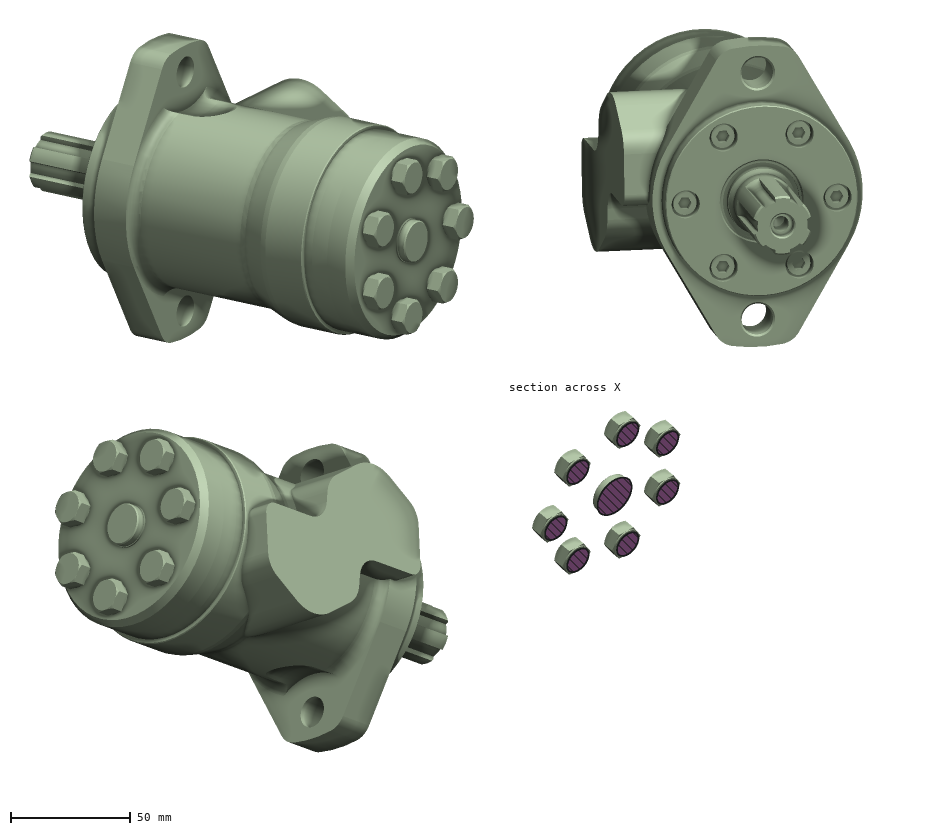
import cadquery as cq
import math


spline_end = 26.3
runout_end = 35.8
collar_start = 42.7
collar_knee = 43.5
collar_full = 45.0
cover_front = 46.1
flange_front = 54.9
flange_back = 70.9
plate_front = 159.5
gear_front = 163.3
end_cover_front = 170.9
end_cover_back = 183.0
bolt_end = 190.5

body_diameter = 80.8
shoulder_diameter = 89.7
shoulder_foot = 126.9
shoulder_top = 139.6
shoulder_blend = 8.2
housing_chamfer = 0.4
flange_length = 129.7
flange_side_angle = 60.0
flange_corner_radius = 10.0
mount_hole_diameter = 13.3
mount_hole_offset = 53.0
mount_hole_chamfer = 0.8
scoop_radius = 26.7
scoop_offset = 62.9
scoop_straight_end = 80.4

total_width = 100.0
port_face = total_width - shoulder_diameter / 2
block_end = 63.0
block_middle = 110.7
lobe_middle = 92.4
lobe_radius = 19.0
lobe_slope = 32.5
lobe_corner = 65.0
lobe_corner_radius = 11.8
block_waist = 4.8
block_waist_radius = 5.3
block_inner_radius = 9.7

shaft_diameter = 25.3
shaft_chamfer = 0.8
spline_count = 6
spline_root_radius = 10.7
tooth_width = 6.3
collar_knee_diameter = 26.7
collar_lip_diameter = 28.5
collar_diameter = 29.0
center_mouth_diameter = 11.0
center_bore_diameter = 10.0
center_bore_depth = 3.8
center_drill_diameter = 6.7
center_drill_depth = 13.3
drill_point_angle = 118.0

cover_diameter = 82.0
cover_chamfer = 0.4
seal_mouth_diameter = 35.8
seal_mouth_chamfer = 0.5
seal_mouth_depth = 1.0
seal_seat_diameter = 32.5
seal_seat_depth = 2.0
screw_count = 6
screw_circle_diameter = 64.8
screw_hole_diameter = 12.0
screw_hole_depth = 7.6
screw_head_diameter = 10.0
screw_head_recess = 2.0
socket_flats = 5.0
socket_depth = 2.9

stack_diameter = 86.0
end_cover_chamfer_length = 3.0
end_cover_chamfer_depth = 2.3
bolt_count = 7
bolt_circle_diameter = 63.5
bolt_flats = 13.3
bolt_neck_diameter = 11.8
bolt_neck_height = 0.8
bolt_washer_height = 0.5
bolt_chamfer = 0.8
plug_pad_diameter = 18.7
plug_pad_height = 0.8
plug_diameter = 18.0
plug_end_diameter = 17.0
plug_end = 187.3

COS30 = math.cos(math.radians(30))


def disc(diameter, start, end):
    """Cylinder on the X axis from start to end."""
    return cq.Workplane("YZ", origin=(start, 0, 0)).circle(diameter / 2).extrude(end - start)


def revolved(profile):
    """Solid of revolution about X from a closed list of (x, radius) points."""
    return cq.Workplane("XY").polyline(profile).close().revolve(360, (0, 0, 0), (1, 0, 0))


def hexagon(flats, start, end):
    """Hexagonal prism along X with two corners on the Y axis."""
    return cq.Workplane("YZ", origin=(start, 0, 0)).polygon(6, flats / COS30).extrude(end - start)


def on_circle(feature, count, diameter):
    """Copies of an axial feature, evenly spaced on a circle that starts on +Y."""
    copies = []
    for i in range(count):
        angle = 2 * math.pi * i / count
        y = diameter / 2 * math.cos(angle)
        z = diameter / 2 * math.sin(angle)
        copies.append(feature.translate((0, y, z)))
    return copies


def make_flange():
    """Two-hole flange: a rhombus tangent to a round middle, cut to length by a large circle."""
    side_angle = math.radians(flange_side_angle)
    middle_radius = shoulder_diameter / 2
    half_y = middle_radius / math.sin(side_angle)
    half_z = middle_radius / math.cos(side_angle)
    rhombus = [(half_y, 0), (0, half_z), (-half_y, 0), (0, -half_z)]
    thickness = flange_back - flange_front
    blank = cq.Workplane("YZ", origin=(flange_front, 0, 0)).polyline(rhombus).close().extrude(thickness)
    blank = blank.edges("|X and (>Y or <Y)").fillet(middle_radius)
    blank = blank.intersect(disc(flange_length, flange_front, flange_back))
    for side in (1, -1):
        corners = cq.selectors.BoxSelector(
            (flange_front, -half_y, side * half_z / 2),
            (flange_back, half_y, side * half_z),
        )
        blank = blank.edges("|X").edges(corners).fillet(flange_corner_radius)
    return blank


def make_barrel():
    """Round body with a quarter-round root at the flange and a coned step up to the shoulder."""
    body_radius = body_diameter / 2
    shoulder_radius = shoulder_diameter / 2
    root_radius = shoulder_radius - body_radius
    root_dip = root_radius * math.cos(math.radians(45))
    barrel = (
        cq.Workplane("XY")
        .moveTo(flange_front, 0)
        .lineTo(flange_front, shoulder_radius)
        .lineTo(flange_back, shoulder_radius)
        .threePointArc(
            (flange_back + root_radius - root_dip, shoulder_radius - root_dip),
            (flange_back + root_radius, body_radius),
        )
        .lineTo(shoulder_foot, body_radius)
        .lineTo(shoulder_top, shoulder_radius)
        .lineTo(plate_front, shoulder_radius)
        .lineTo(plate_front, 0)
        .close()
        .revolve(360, (0, 0, 0), (1, 0, 0))
    )
    step = cq.selectors.BoxSelector(
        (shoulder_foot - shoulder_blend, -shoulder_diameter, -shoulder_diameter),
        (shoulder_top + shoulder_blend, shoulder_diameter, shoulder_diameter),
    )
    barrel = barrel.edges("%CIRCLE").edges(step).fillet(shoulder_blend)
    return barrel.faces(">X").edges().chamfer(housing_chamfer)


def make_port_block():
    """Port block whose outline is one rounded lobe and its copy turned half a turn."""
    slope = math.radians(lobe_slope)
    lobe_apex = lobe_radius + lobe_radius / math.cos(slope)
    lobe_corner_z = lobe_apex - (lobe_middle - lobe_corner) * math.tan(slope)
    half_outline = [
        (block_end, -block_waist, block_waist_radius),
        (lobe_corner, lobe_corner_z, lobe_corner_radius),
        (lobe_middle, lobe_apex, lobe_radius),
        (2 * lobe_middle - lobe_corner, lobe_corner_z, lobe_corner_radius),
        (2 * lobe_middle - block_end, block_waist, block_inner_radius),
    ]
    other_half = [(2 * block_middle - x, -z, radius) for x, z, radius in half_outline]
    corners = half_outline + other_half
    block = cq.Workplane("ZX").polyline([(z, x) for x, z, radius in corners]).close().extrude(port_face)
    for x, z, radius in corners:
        edge = cq.selectors.NearestToPointSelector((x, port_face / 2, z))
        block = block.edges("|Y").edges(edge).fillet(radius)
    return block


def make_scoop(side):
    """Ball-ended trough behind a mounting hole; side is +1 for +Z and -1 for -Z."""
    dip = scoop_radius * math.cos(math.radians(45))
    trough = (
        cq.Workplane("XY")
        .moveTo(flange_back, 0)
        .lineTo(flange_back, scoop_radius)
        .lineTo(scoop_straight_end, scoop_radius)
        .threePointArc((scoop_straight_end + dip, dip), (scoop_straight_end + scoop_radius, 0))
        .close()
        .revolve(360, (0, 0, 0), (1, 0, 0))
    )
    return trough.translate((0, 0, side * scoop_offset))


def make_mount_hole(side):
    """Mounting hole with a chamfered mouth on the front of the flange."""
    radius = mount_hole_diameter / 2
    profile = [
        (flange_front, 0),
        (flange_front, radius + mount_hole_chamfer),
        (flange_front + mount_hole_chamfer, radius),
        (flange_back, radius),
        (flange_back, 0),
    ]
    return revolved(profile).translate((0, 0, side * mount_hole_offset))


def make_housing():
    housing = make_barrel().union(make_flange()).union(make_port_block())
    for side in (1, -1):
        housing = housing.cut(make_scoop(side)).cut(make_mount_hole(side))
    return housing


def make_spline_groove():
    """Groove on the +Y side of the shaft, with flanks parallel to the teeth beside it."""
    outer_radius = shaft_diameter
    depth = shaft_diameter / 2 - spline_root_radius
    runout = runout_end - spline_end
    cutter_radius = (runout**2 + depth**2) / (2 * depth)
    half_pitch = math.pi / spline_count

    def flank(radius):
        return radius * math.tan(half_pitch) - tooth_width / 2 / math.cos(half_pitch)

    inner_radius = spline_root_radius * math.cos(half_pitch)
    section = [
        (inner_radius, -flank(inner_radius)),
        (outer_radius, -flank(outer_radius)),
        (outer_radius, flank(outer_radius)),
        (inner_radius, flank(inner_radius)),
    ]
    wedge = cq.Workplane("YZ").polyline(section).close().extrude(runout_end)
    half_sweep = math.asin(runout / cutter_radius) / 2
    middle = (
        spline_end + cutter_radius * math.sin(half_sweep),
        spline_root_radius + cutter_radius * (1 - math.cos(half_sweep)),
    )
    ring = (
        cq.Workplane("XY")
        .moveTo(0, spline_root_radius)
        .lineTo(spline_end, spline_root_radius)
        .threePointArc(middle, (runout_end, shaft_diameter / 2))
        .lineTo(runout_end, outer_radius)
        .lineTo(0, outer_radius)
        .close()
        .revolve(360, (0, 0, 0), (1, 0, 0))
    )
    return wedge.intersect(ring)


def make_center_hole():
    """Stepped center hole in the shaft tip with a drill point at the bottom."""
    mouth_chamfer = (center_mouth_diameter - center_bore_diameter) / 2
    drill_radius = center_drill_diameter / 2
    point_length = drill_radius / math.tan(math.radians(drill_point_angle / 2))
    return revolved([
        (0, 0),
        (0, center_mouth_diameter / 2),
        (mouth_chamfer, center_bore_diameter / 2),
        (center_bore_depth, center_bore_diameter / 2),
        (center_bore_depth, drill_radius),
        (center_drill_depth, drill_radius),
        (center_drill_depth + point_length, 0),
    ])


def make_shaft():
    shaft_radius = shaft_diameter / 2
    shaft = revolved([
        (0, 0),
        (0, shaft_radius - shaft_chamfer),
        (shaft_chamfer, shaft_radius),
        (collar_start, shaft_radius),
        (collar_knee, collar_knee_diameter / 2),
        (collar_full, collar_lip_diameter / 2),
        (collar_full, collar_diameter / 2),
        (flange_front, collar_diameter / 2),
        (flange_front, 0),
    ])
    groove = make_spline_groove()
    for i in range(spline_count):
        shaft = shaft.cut(groove.rotate((0, 0, 0), (1, 0, 0), i * 360 / spline_count))
    return shaft.cut(make_center_hole())


def make_screw_recess():
    """Counterbore that leaves the socket screw head standing in it."""
    head_top = cover_front + screw_head_recess
    hole_bottom = cover_front + screw_hole_depth
    head = disc(screw_head_diameter, head_top, hole_bottom)
    head = head.cut(hexagon(socket_flats, head_top, head_top + socket_depth))
    return disc(screw_hole_diameter, cover_front, hole_bottom).cut(head)


def make_front_cover():
    cover = disc(cover_diameter, cover_front, flange_front).faces("<X").edges().chamfer(cover_chamfer)
    seal_seat = revolved([
        (cover_front, 0),
        (cover_front, seal_mouth_diameter / 2),
        (cover_front + seal_mouth_chamfer, seal_mouth_diameter / 2 - seal_mouth_chamfer),
        (cover_front + seal_mouth_depth, seal_mouth_diameter / 2 - seal_mouth_chamfer),
        (cover_front + seal_mouth_depth, seal_seat_diameter / 2),
        (cover_front + seal_seat_depth, seal_seat_diameter / 2),
        (cover_front + seal_seat_depth, 0),
    ])
    cover = cover.cut(seal_seat).cut(disc(collar_diameter, cover_front, flange_front))
    for recess in on_circle(make_screw_recess(), screw_count, screw_circle_diameter):
        cover = cover.cut(recess)
    return cover


def make_bolt_head():
    """Hexagon head with a chamfered end, on a round washer face and a narrower neck."""
    washer_start = end_cover_back + bolt_neck_height
    hex_start = washer_start + bolt_washer_height
    flats_radius = bolt_flats / 2
    corner_radius = flats_radius / COS30
    rounding = revolved([
        (hex_start, 0),
        (hex_start, corner_radius),
        (bolt_end - bolt_chamfer, corner_radius),
        (bolt_end, flats_radius),
        (bolt_end, 0),
    ])
    head = hexagon(bolt_flats, hex_start, bolt_end).intersect(rounding)
    head = head.union(disc(bolt_flats, washer_start, hex_start))
    return head.union(disc(bolt_neck_diameter, end_cover_back, washer_start))


def make_plug():
    """Round plug with a chamfered end, on a slightly wider pad."""
    pad_end = end_cover_back + plug_pad_height
    end_chamfer = (plug_diameter - plug_end_diameter) / 2
    plug = disc(plug_diameter, pad_end, plug_end).faces(">X").edges().chamfer(end_chamfer)
    return plug.union(disc(plug_pad_diameter, end_cover_back, pad_end))


def make_end_cover():
    radius = stack_diameter / 2
    cover = revolved([
        (end_cover_front, 0),
        (end_cover_front, radius),
        (end_cover_back - end_cover_chamfer_length, radius),
        (end_cover_back, radius - end_cover_chamfer_depth),
        (end_cover_back, 0),
    ])
    for head in on_circle(make_bolt_head(), bolt_count, bolt_circle_diameter):
        cover = cover.union(head)
    return cover.union(make_plug())


shaft = make_shaft()
front_cover = make_front_cover()
housing = make_housing()
spacer_plate = disc(stack_diameter, plate_front, gear_front)
gear_ring = disc(stack_diameter, gear_front, end_cover_front)
end_cover = make_end_cover()

result = cq.Compound.makeCompound([
    shaft.val(),
    front_cover.val(),
    housing.val(),
    spacer_plate.val(),
    gear_ring.val(),
    end_cover.val(),
])